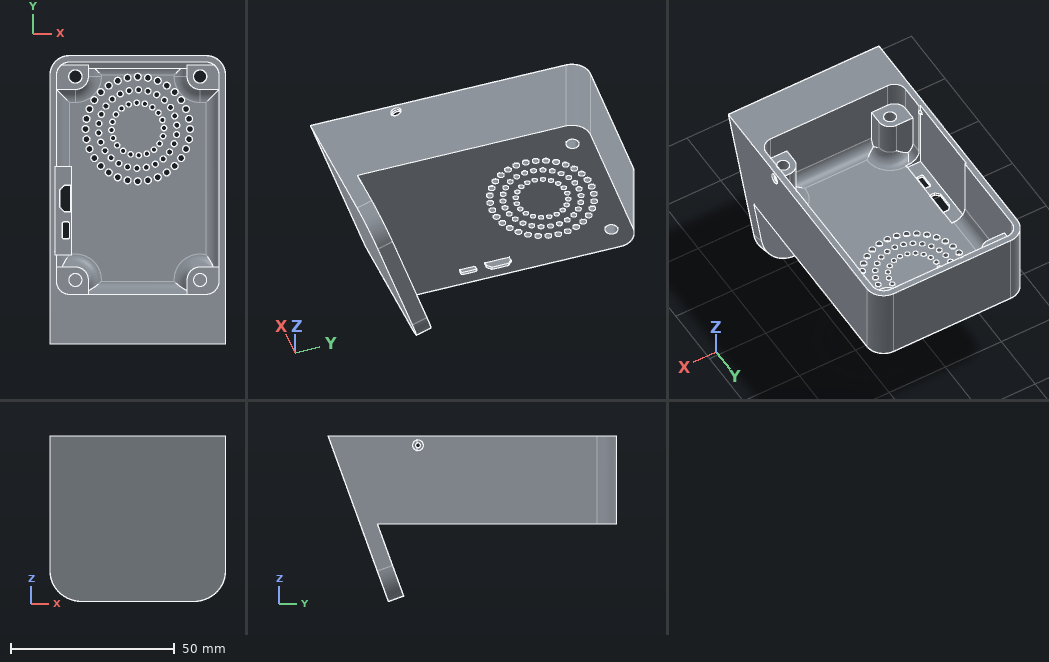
import cadquery as cq
import math

width = 53.7
length = 88.2
total_height = 50.7
box_height = 27.0
lean = math.radians(20)
outer_corner_radius = 6.0

leg_thickness = 5.0
leg_corner_radius = 10.0

wall = 2.0
floor = 2.0
blend_radius = 4.0
back_wall_run = 2.0

post_top = 17.9
post_radius = 4.0
post_x = 19.05
front_post_y = 19.6
back_post_y = 81.8
screw_hole_diameter = 4.0

grille_y = 65.7
grille_rings = [
    (16.0, 2.0, 32, 0.0),
    (12.0, 1.8, 26, 5.7),
    (8.0, 1.6, 20, 2.2),
]

recess_left = -25.3
recess_right = -20.2
recess_front = 27.25
recess_back = 54.3
recess_floor = 1.0
hdmi_x = -22.1
hdmi_y = 44.45
hdmi_width = 3.3
hdmi_length = 8.0
hdmi_chamfer = 1.3
usb_x = -22.0
usb_y = 34.75
usb_width = 2.2
usb_length = 5.1
usb_corner_radius = 0.5

side_hole_y = 27.5
side_hole_z = box_height - 2.9
pinhole_diameter = 1.4
right_hole_diameter = 3.3
right_bore_diameter = 4.2
right_bore_depth = 1.2

inner_half_width = width / 2 - wall
leg_depth = leg_thickness / math.cos(lean)
cavity_front = box_height * math.tan(lean) + leg_depth
cavity_back = length - wall
cavity_length = cavity_back - cavity_front
cavity_y = (cavity_front + cavity_back) / 2


def block(x_min, x_max, y_min, y_max, z_min, z_max):
    """Box between the given limits."""
    size = (x_max - x_min, y_max - y_min, z_max - z_min)
    return cq.Workplane("XY").box(*size, centered=False).translate((x_min, y_min, z_min))


def make_body():
    """Solid box with the leaning leg, before hollowing."""
    tip_y = total_height * math.tan(lean)
    tip_z = box_height - total_height
    profile = [
        (0, box_height),
        (tip_y, tip_z),
        (tip_y + leg_thickness * math.cos(lean), tip_z + leg_thickness * math.sin(lean)),
        (cavity_front, 0),
        (length, 0),
        (length, box_height),
    ]
    body = cq.Workplane("YZ").polyline(profile).close().extrude(width / 2, both=True)
    body = body.edges("|Z and >Y").fillet(outer_corner_radius)
    through_leg = cq.selectors.ParallelDirSelector(cq.Vector(0, math.cos(lean), math.sin(lean)))
    return body.edges(through_leg).fillet(leg_corner_radius)


def make_post(side, post_y, end):
    """Corner post filling from its rounded inner side out to both walls."""
    x = side * post_x
    outer_x = side * (inner_half_width + wall)
    outer_y = post_y + end * (inner_half_width - post_x + wall)
    inner_x = x - side * post_radius
    inner_y = post_y - end * post_radius
    bend = post_radius * math.sqrt(0.5)
    return (
        cq.Workplane("XY")
        .moveTo(outer_x, outer_y)
        .lineTo(inner_x, outer_y)
        .lineTo(inner_x, post_y)
        .threePointArc((x - side * bend, post_y - end * bend), (x, inner_y))
        .lineTo(outer_x, inner_y)
        .close()
        .extrude(box_height)
    )


def make_flare(x, y):
    """Round foot that sweeps from the floor up into a post."""
    foot_radius = post_radius + blend_radius
    sag = blend_radius * (1 - math.sqrt(0.5))
    return (
        cq.Workplane("XZ")
        .moveTo(0, floor)
        .lineTo(foot_radius, floor)
        .threePointArc((post_radius + sag, floor + sag), (post_radius, floor + blend_radius))
        .lineTo(0, floor + blend_radius)
        .close()
        .revolve(360, (0, 0, 0), (0, 1, 0))
        .translate((x, y, 0))
    )


def make_cavity():
    """Space inside the box: lower part around the posts plus the open upper part."""
    lower = block(-inner_half_width, inner_half_width, cavity_front, cavity_back, floor, post_top)
    for side in (-1, 1):
        lower = lower.cut(make_post(side, back_post_y, 1))
    lower = lower.faces("<Z").edges().fillet(blend_radius)
    for side in (-1, 1):
        lower = lower.cut(make_post(side, front_post_y, -1))
        lower = lower.cut(make_flare(side * post_x, front_post_y))
    upper = (
        cq.Workplane("XY", origin=(0, cavity_y, post_top))
        .rect(2 * inner_half_width, cavity_length)
        .extrude(box_height - post_top)
        .edges("|Z")
        .fillet(blend_radius)
    )
    back_slope = (
        cq.Workplane("YZ")
        .polyline([
            (cavity_back, box_height),
            (cavity_back - back_wall_run, floor + blend_radius),
            (cavity_back, floor + blend_radius),
        ])
        .close()
        .extrude(width / 2, both=True)
    )
    return lower.union(upper).cut(back_slope)


def make_screw_holes():
    """Back holes run through the underside; front holes stop at floor level."""
    holes = cq.Workplane("XY")
    for post_y, bottom in ((front_post_y, floor), (back_post_y, 0)):
        pair = (
            cq.Workplane("XY", origin=(0, post_y, bottom))
            .pushPoints([(-post_x, 0), (post_x, 0)])
            .circle(screw_hole_diameter / 2)
            .extrude(post_top - bottom)
        )
        holes = holes.union(pair)
    return holes


def make_grille():
    """Concentric rings of sound holes through the floor."""
    holes = cq.Workplane("XY")
    for ring_radius, diameter, count, first_angle in grille_rings:
        ring = (
            cq.Workplane("XY", origin=(0, grille_y, 0))
            .polarArray(ring_radius, first_angle, 360, count)
            .circle(diameter / 2)
            .extrude(floor + blend_radius)
        )
        holes = holes.union(ring)
    return holes


def make_connector_recess():
    """Recess cut from the rim into the floor, with HDMI and USB openings below it."""
    recess = block(recess_left, recess_right, recess_front, recess_back, recess_floor, box_height)
    hdmi = (
        cq.Workplane("XY", origin=(hdmi_x, hdmi_y, 0))
        .rect(hdmi_width, hdmi_length)
        .extrude(floor)
        .edges("|Z and <X")
        .chamfer(hdmi_chamfer)
    )
    usb = (
        cq.Workplane("XY", origin=(usb_x, usb_y, 0))
        .rect(usb_width, usb_length)
        .extrude(floor)
        .edges("|Z")
        .fillet(usb_corner_radius)
    )
    return recess.union(hdmi).union(usb)


def make_side_holes():
    """Pinhole through the left wall and a hole bored wider from the inside in the right wall."""
    axis = cq.Workplane("YZ").center(side_hole_y, side_hole_z)
    pinhole = axis.circle(pinhole_diameter / 2).extrude(-width / 2)
    right_hole = axis.circle(right_hole_diameter / 2).extrude(width / 2)
    right_bore = axis.circle(right_bore_diameter / 2).extrude(inner_half_width + right_bore_depth)
    return pinhole.union(right_hole).union(right_bore)


result = make_body().cut(make_cavity())
result = result.cut(make_connector_recess())
result = result.cut(make_screw_holes())
result = result.cut(make_grille())
result = result.cut(make_side_holes())